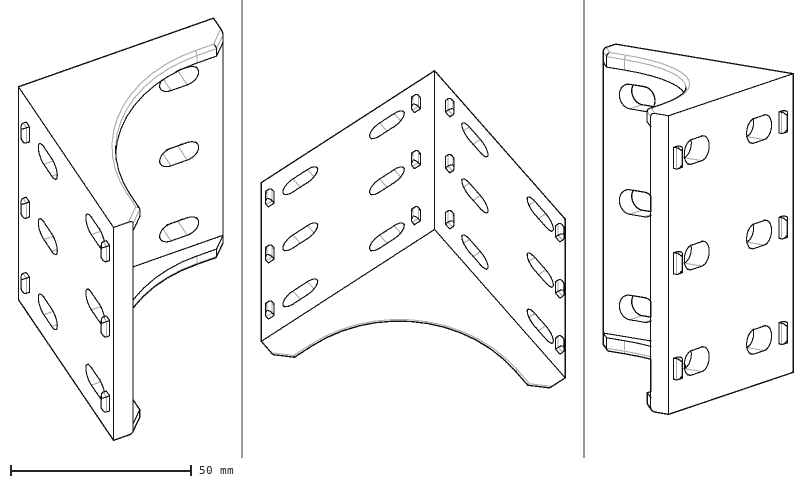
import cadquery as cq
import math


height = 85.0
leg_length = 60.0
wall_thickness = 6.0
plate_thickness = 4.0

tip_bevel = 4.0
inner_radius = 39.95
edge_round = 1.0

row_pitch = 30.0
row_heights = [height / 2 + step * row_pitch for step in (-1, 0, 1)]

slot_length = 12.0
slot_width = 7.0
slot_pitch = 30.0
front_slot_start = 18.5
side_slot_start = 16.5

tab_width = 2.0
tab_length = 6.0
tab_height = 1.95
tab_crest = 0.04
tab_round = (tab_width - tab_crest) / 2
tab_corner_gap = 5.95
tab_end_gap = 3.5
tab_places = (tab_corner_gap, leg_length - tab_end_gap)


def make_block():
    """Solid gusset outline over the full height, its outer corner on the Z axis."""
    leg_depth = wall_thickness + tip_bevel
    bevel_start = leg_length - tip_bevel
    arc_center = leg_depth + inner_radius
    arc_middle = arc_center - inner_radius * math.sqrt(0.5)
    return (
        cq.Workplane("XY")
        .lineTo(leg_length, 0)
        .lineTo(leg_length, wall_thickness)
        .lineTo(bevel_start, leg_depth)
        .lineTo(arc_center, leg_depth)
        .threePointArc((arc_middle, arc_middle), (leg_depth, arc_center))
        .lineTo(leg_depth, bevel_start)
        .lineTo(wall_thickness, leg_length)
        .lineTo(0, leg_length)
        .close()
        .extrude(height)
    )


def round_inner_edges(block):
    """Round the bevel, flat and arc edges on the end faces."""
    end_edges = block.faces("<Z or >Z").edges().vals()
    inner_edges = []
    for edge in end_edges:
        middle = edge.positionAt(0.5)
        off_outer_faces = min(middle.x, middle.y) > wall_thickness
        if off_outer_faces:
            inner_edges.append(edge)
    return block.newObject(inner_edges).fillet(edge_round)


def make_pocket():
    """Space between the two gusset plates, inside the walls."""
    return (
        cq.Workplane("XY")
        .workplane(offset=plate_thickness)
        .moveTo(wall_thickness, wall_thickness)
        .rect(leg_length, leg_length, centered=False)
        .extrude(height - 2 * plate_thickness)
    )


def make_slots(slot_start):
    """Slot cutters through the front wall."""
    places = [(slot_start + step * slot_pitch, z) for step in (0, 1) for z in row_heights]
    return (
        cq.Workplane("XZ")
        .pushPoints(places)
        .slot2D(slot_length, slot_width)
        .extrude(-wall_thickness)
    )


def make_tabs():
    """Tabs on the front face, pointing to -Y."""
    places = [(x, z) for x in tab_places for z in row_heights]
    return (
        cq.Workplane("XZ")
        .pushPoints(places)
        .rect(tab_width, tab_length)
        .extrude(tab_height)
        .faces("<Y")
        .edges()
        .fillet(tab_round)
    )


def to_side_wall(shape):
    """Swap X and Y, carrying front-wall features over to the side wall."""
    return shape.rotate((0, 0, 0), (0, 0, 1), 90).mirror("YZ")


result = round_inner_edges(make_block()).cut(make_pocket())
result = result.cut(make_slots(front_slot_start)).cut(to_side_wall(make_slots(side_slot_start)))
result = result.union(make_tabs()).union(to_side_wall(make_tabs()))